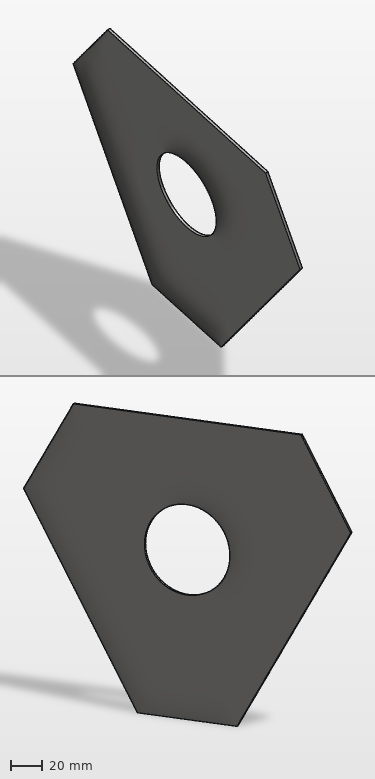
import cadquery as cq
import math

overall_width = 230.0
short_side = 70.0
thickness = 2.0
hole_diameter = 60.0

long_side = overall_width - short_side
triangle_side = long_side + 2 * short_side
slope = math.sqrt(3) / 2

top_z = triangle_side * slope / 3
corner_z = top_z - short_side * slope
bottom_z = corner_z - long_side * slope

right_half = [
    (short_side / 2, bottom_z),
    (overall_width / 2, corner_z),
    (long_side / 2, top_z),
]
left_half = [(-x, z) for x, z in reversed(right_half)]

result = (
    cq.Workplane("XZ")
    .polyline(right_half + left_half)
    .close()
    .circle(hole_diameter / 2)
    .extrude(thickness / 2, both=True)
)